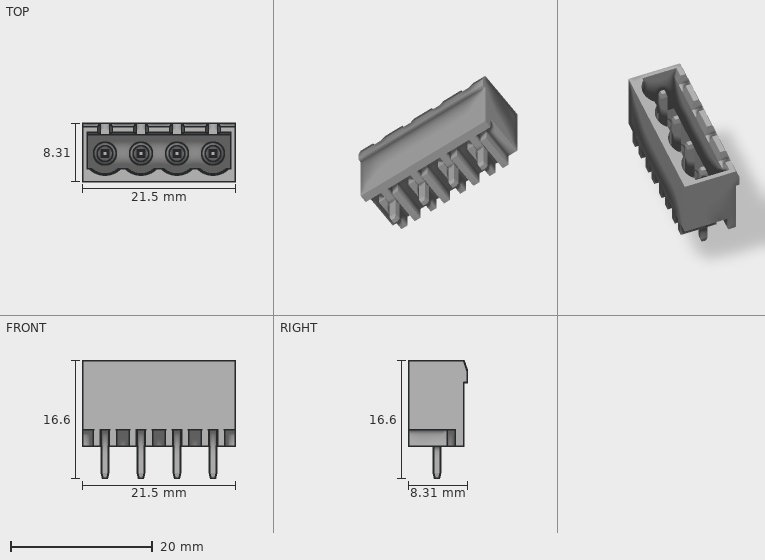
import cadquery as cq


length = 21.52
housing_depth = 7.81
housing_height = 12.1

lip_overhang = 0.5
lip_drop = 3.1
bevel_drop = 1.48
lip_back = housing_depth + lip_overhang

pin_count = 4
pitch = 5.08
pin_y = 4.0
pin_width = 1.01
pin_tip_width = 0.65
pin_taper = 0.75
pin_bottom = -4.5
pin_top = 10.93
pin_xs = [(i - (pin_count - 1) / 2) * pitch for i in range(pin_count)]

end_wall = 0.62
front_wall = 1.87
cavity_back = 6.63
cavity_mouth_back = 7.02
floor_z = 3.49
cavity_length = length - 2 * end_wall
cavity_height = housing_height - floor_z

scallop_top_radius = 3.03
scallop_floor_radius = 2.88

boss_base_diameter = 3.2
boss_top_diameter = 2.22
boss_height = (boss_base_diameter - boss_top_diameter) / 2

notch_top_width = 2.0
notch_bottom_width = 1.38

relief_height = 2.35
rail_thickness = 1.23
rail_front = housing_depth - rail_thickness
foot_depth = 5.45
foot_width = 1.01
foot_gap = 1.27


def block(x_size, y_front, y_back, z_bottom, z_top, x_center=0.0):
    """Box centred on x_center, given by its Y and Z limits."""
    return (
        cq.Workplane("XY", origin=(x_center, y_front, z_bottom))
        .box(x_size, y_back - y_front, z_top - z_bottom, centered=(True, False, False))
    )


def cone(x, z_bottom, bottom_radius, top_radius, height):
    """Upright truncated cone on the axis of the pin at x."""
    solid = cq.Solid.makeCone(bottom_radius, top_radius, height, pnt=cq.Vector(x, pin_y, z_bottom))
    return cq.Workplane(obj=solid)


def along_x(points, x_size):
    """Prism with a YZ outline, centred on X = 0."""
    return cq.Workplane("YZ").polyline(points).close().extrude(x_size / 2, both=True)


def make_housing():
    """Solid housing with the bevelled lip at the top of its back face."""
    outline = [
        (0, 0),
        (housing_depth, 0),
        (housing_depth, housing_height - lip_drop),
        (lip_back, housing_height - lip_drop),
        (lip_back, housing_height - bevel_drop),
        (housing_depth, housing_height),
        (0, housing_height),
    ]
    return along_x(outline, length)


def make_cavity():
    """Open-topped cavity, flared at the back and scalloped at the front."""
    outline = [
        (front_wall, floor_z),
        (cavity_back, floor_z),
        (cavity_back, housing_height - bevel_drop),
        (cavity_mouth_back, housing_height),
        (front_wall, housing_height),
    ]
    cavity = along_x(outline, cavity_length)
    scallop_limit = block(cavity_length, 0, pin_y, floor_z, housing_height)
    for x in pin_xs:
        scallop = cone(x, floor_z, scallop_floor_radius, scallop_top_radius, cavity_height)
        cavity = cavity.union(scallop.intersect(scallop_limit))
    return cavity


def make_notch(x):
    """Trapezoidal notch through the top of the back wall and lip."""
    outline = [
        (x - notch_top_width / 2, housing_height),
        (x - notch_bottom_width / 2, housing_height - bevel_drop),
        (x + notch_bottom_width / 2, housing_height - bevel_drop),
        (x + notch_top_width / 2, housing_height),
    ]
    return (
        cq.Workplane("XZ", origin=(0, cavity_back, 0))
        .polyline(outline)
        .close()
        .extrude(cavity_back - lip_back)
    )


def make_feet(x):
    """Pair of feet, one on each side of the pin at x."""
    pair = block(foot_gap + 2 * foot_width, 0, foot_depth, 0, relief_height, x)
    gap = block(foot_gap, 0, foot_depth, 0, relief_height, x)
    return pair.cut(gap)


def make_web(x):
    """Web as wide as the pin at x, tying it to the back rail."""
    return block(pin_width, pin_y, rail_front, 0, relief_height, x)


def make_pin_tip(x, z_base, taper):
    """Square tapered tip; a negative taper points it downwards."""
    return (
        cq.Workplane("XY", origin=(x, pin_y, z_base))
        .rect(pin_width, pin_width)
        .workplane(offset=taper)
        .rect(pin_tip_width, pin_tip_width)
        .loft(ruled=True)
    )


def make_pin(x):
    """Square contact pin tapered at both ends."""
    shank_bottom = pin_bottom + pin_taper
    shank_top = pin_top - pin_taper
    shank = block(pin_width, pin_y - pin_width / 2, pin_y + pin_width / 2, shank_bottom, shank_top, x)
    upper_tip = make_pin_tip(x, shank_top, pin_taper)
    lower_tip = make_pin_tip(x, shank_bottom, -pin_taper)
    return shank.union(upper_tip).union(lower_tip)


result = make_housing().cut(make_cavity())
result = result.cut(block(length, 0, rail_front, 0, relief_height))

for pin_x in pin_xs:
    boss = cone(pin_x, floor_z, boss_base_diameter / 2, boss_top_diameter / 2, boss_height)
    result = result.cut(make_notch(pin_x))
    result = result.union(make_feet(pin_x)).union(make_web(pin_x))
    result = result.union(boss).union(make_pin(pin_x))